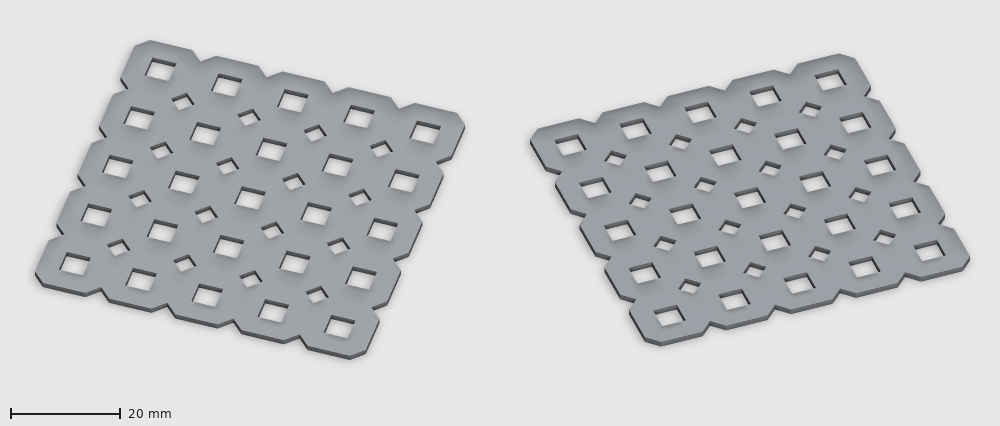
import cadquery as cq

cells_per_side = 5
cell_pitch = 12.7
thickness = 1.15
square_hole_side = 4.65
corner_cut = 2.3

plate_side = cells_per_side * cell_pitch


def plate():
    return cq.Workplane("XY").box(plate_side, plate_side, thickness)


def square_holes():
    """One square hole in the middle of every cell."""
    return (
        cq.Workplane("XY")
        .rarray(cell_pitch, cell_pitch, cells_per_side, cells_per_side)
        .rect(square_hole_side, square_hole_side)
        .extrude(thickness, both=True)
    )


def corner_diamonds():
    """Diamonds where cell corners meet; those on the rim leave notches and corner chamfers."""
    corners_per_side = cells_per_side + 1
    return (
        cq.Workplane("XY")
        .rarray(cell_pitch, cell_pitch, corners_per_side, corners_per_side)
        .polygon(4, 2 * corner_cut)
        .extrude(thickness, both=True)
    )


result = plate().cut(square_holes()).cut(corner_diamonds())